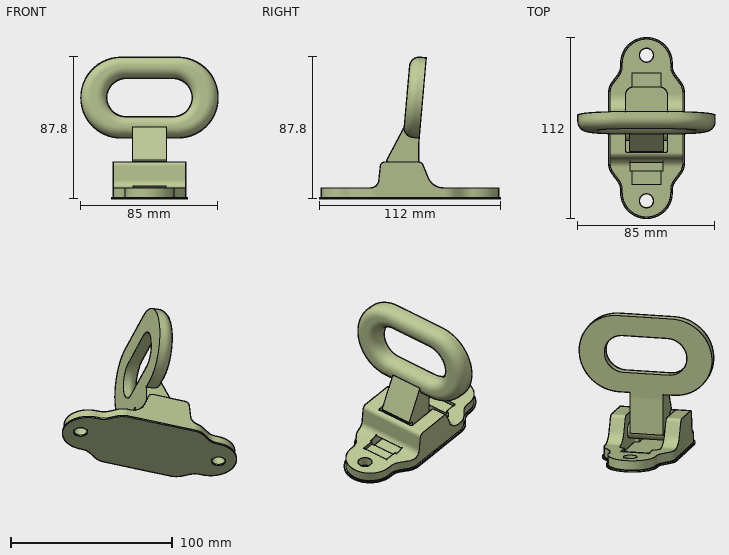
import cadquery as cq
import math

FOOT_LENGTH = 112.0
GASKET_THICKNESS = 1.0
GASKET_RIM = 1.0
HOUSING_HALF_LENGTH = FOOT_LENGTH / 2 - GASKET_RIM
HOUSING_HALF_WIDTH = 22.5
LUG_RADIUS = 15.0
FLARE_INNER_Y = 35.0
FLARE_OUTER_Y = 25.1
FLARE_ROUND = 10.0
SCREW_HOLE_DIAMETER = 8.5
SCREW_HOLE_Y = 45.0

FLANGE_TOP = 7.0
BLOCK_TOP = 23.0
FRONT_FOOT_Y = -19.8
FRONT_CREST_Y = -18.1
BACK_FOOT_Y = 13.9
BACK_CREST_Y = 7.3
FRONT_FOOT_ROUND = 5.0
BACK_FOOT_ROUND = 10.0
CREST_ROUND = 3.0

SLOT_HALF_WIDTH = 13.0
SLOT_FRONT_Y = -15.0
SLOT_FRONT_ROUND = 1.0
SLOT_BACK_ROUND = 5.0
OPENINGS_MIDDLE_Y = -0.5
OPENING_LENGTH = 51.9
RECESS_LENGTH = 68.8
RECESS_HALF_WIDTH = 9.0
RECESS_DEPTH = 2.0
TUNNEL_HALF_WIDTH = 10.2
TUNNEL_TOP = 8.0
SLOT_BACK_Y = OPENINGS_MIDDLE_Y + OPENING_LENGTH / 2
TUNNEL_FRONT_Y = OPENINGS_MIDDLE_Y - OPENING_LENGTH / 2

RING_TILT = 5.0
RING_BACK_Y = 8.0
RING_CENTRE_Z = 62.5
RING_THICKNESS = 10.0
RING_ROUND = 6.0
RING_OUTER_RADIUS = 25.0
RING_OUTER_LENGTH = 85.0
RING_INNER_RADIUS = 12.0
RING_INNER_LENGTH = 52.8

STEM_WIDTH = 21.3
STEM_BACK_Y = 5.5
STEM_TIP_Y = -14.5
STEM_TIP_TOP = 24.0
STEM_TIP_BOTTOM = 23.3
NECK_FRONT_Y = -11.2
NECK_FRONT_TOP = 22.2
HUB_RADIUS = 5.0
HUB_Y = -2.6
HUB_Z = 11.6


def foot_outline(bottom, height):
    """Housing outline: a wide body that flares in to a round lug at each end."""
    lug_y = HOUSING_HALF_LENGTH - LUG_RADIUS
    body = (
        cq.Workplane("XY", origin=(0, 0, bottom))
        .moveTo(HOUSING_HALF_WIDTH, -FLARE_OUTER_Y)
        .lineTo(HOUSING_HALF_WIDTH, FLARE_OUTER_Y)
        .lineTo(LUG_RADIUS, FLARE_INNER_Y)
        .lineTo(LUG_RADIUS, lug_y)
        .threePointArc((0, HOUSING_HALF_LENGTH), (-LUG_RADIUS, lug_y))
        .lineTo(-LUG_RADIUS, FLARE_INNER_Y)
        .lineTo(-HOUSING_HALF_WIDTH, FLARE_OUTER_Y)
        .lineTo(-HOUSING_HALF_WIDTH, -FLARE_OUTER_Y)
        .lineTo(-LUG_RADIUS, -FLARE_INNER_Y)
        .lineTo(-LUG_RADIUS, -lug_y)
        .threePointArc((0, -HOUSING_HALF_LENGTH), (LUG_RADIUS, -lug_y))
        .lineTo(LUG_RADIUS, -FLARE_INNER_Y)
        .close()
        .extrude(height)
    )
    flare_end_y = (FLARE_INNER_Y + lug_y) / 2
    flare_zone = cq.selectors.BoxSelector(
        (-FOOT_LENGTH, -flare_end_y, bottom), (FOOT_LENGTH, flare_end_y, bottom + height)
    )
    return body.edges("|Z").edges(flare_zone).fillet(FLARE_ROUND)


def box_between(x_half, y_min, y_max, z_min, z_max):
    """Box centred on X, given by its Y and Z limits."""
    return cq.Workplane("XY", origin=(0, (y_min + y_max) / 2, z_min)).box(
        2 * x_half, y_max - y_min, z_max - z_min, centered=(True, True, False)
    )


def screw_holes():
    """Cutters for the screw hole in each lug, through gasket and housing."""
    return (
        cq.Workplane("XY")
        .pushPoints([(0, SCREW_HOLE_Y), (0, -SCREW_HOLE_Y)])
        .circle(SCREW_HOLE_DIAMETER / 2)
        .extrude(BLOCK_TOP)
    )


def make_gasket():
    """Thin sheet under the housing, standing out by an even rim."""
    outline = foot_outline(0, GASKET_THICKNESS).faces("<Z").wires().toPending()
    sheet = outline.offset2D(GASKET_RIM).extrude(GASKET_THICKNESS, combine=False)
    return sheet.cut(screw_holes())


def make_housing_shell():
    """Flange with a raised block across it, trimmed to the foot outline."""
    ridge = (
        cq.Workplane("YZ", origin=(-HOUSING_HALF_WIDTH, 0, 0))
        .polyline([
            (-HOUSING_HALF_LENGTH, GASKET_THICKNESS),
            (-HOUSING_HALF_LENGTH, FLANGE_TOP),
            (FRONT_FOOT_Y, FLANGE_TOP),
            (FRONT_CREST_Y, BLOCK_TOP),
            (BACK_CREST_Y, BLOCK_TOP),
            (BACK_FOOT_Y, FLANGE_TOP),
            (HOUSING_HALF_LENGTH, FLANGE_TOP),
            (HOUSING_HALF_LENGTH, GASKET_THICKNESS),
        ])
        .close()
        .extrude(2 * HOUSING_HALF_WIDTH)
    )
    for y, z, radius in [
        (FRONT_FOOT_Y, FLANGE_TOP, FRONT_FOOT_ROUND),
        (FRONT_CREST_Y, BLOCK_TOP, CREST_ROUND),
        (BACK_CREST_Y, BLOCK_TOP, CREST_ROUND),
        (BACK_FOOT_Y, FLANGE_TOP, BACK_FOOT_ROUND),
    ]:
        ridge = ridge.edges(cq.selectors.NearestToPointSelector((0, y, z))).fillet(radius)
    return ridge.intersect(foot_outline(GASKET_THICKNESS, BLOCK_TOP))


def make_handle_slot():
    """Opening for the handle, right through the housing, with wide rounds at the back."""
    slot = box_between(SLOT_HALF_WIDTH, SLOT_FRONT_Y, SLOT_BACK_Y, GASKET_THICKNESS, BLOCK_TOP)
    slot = slot.edges("|Z and >Y").fillet(SLOT_BACK_ROUND)
    return slot.edges("|Z and <Y").fillet(SLOT_FRONT_ROUND)


def make_housing():
    """Shell with the handle slot, the tunnel forward of it, two recesses and the screw holes."""
    tunnel = box_between(TUNNEL_HALF_WIDTH, TUNNEL_FRONT_Y, SLOT_BACK_Y - SLOT_BACK_ROUND,
                         GASKET_THICKNESS, TUNNEL_TOP)
    recesses = box_between(RECESS_HALF_WIDTH, OPENINGS_MIDDLE_Y - RECESS_LENGTH / 2,
                           OPENINGS_MIDDLE_Y + RECESS_LENGTH / 2, FLANGE_TOP - RECESS_DEPTH, FLANGE_TOP)
    shell = make_housing_shell()
    return shell.cut(make_handle_slot()).cut(tunnel).cut(recesses).cut(screw_holes())


def make_ring():
    """Oval ring on its tilted plane, both front edges rounded."""
    tilt = math.radians(RING_TILT)
    back_plane = cq.Plane(
        origin=(0, RING_BACK_Y, RING_CENTRE_Z),
        xDir=(1, 0, 0),
        normal=(0, -math.cos(tilt), math.sin(tilt)),
    )
    return (
        cq.Workplane(back_plane)
        .slot2D(RING_OUTER_LENGTH, 2 * RING_OUTER_RADIUS)
        .slot2D(RING_INNER_LENGTH, 2 * RING_INNER_RADIUS)
        .extrude(RING_THICKNESS)
        .faces(cq.selectors.DirectionMinMaxSelector(back_plane.zDir, True))
        .edges()
        .fillet(RING_ROUND)
    )


def ring_point(up, forward):
    """(Y, Z) of a point given along the tilted ring: up its face and forward from its back."""
    tilt = math.radians(RING_TILT)
    return (
        RING_BACK_Y + up * math.sin(tilt) - forward * math.cos(tilt),
        RING_CENTRE_Z + up * math.cos(tilt) + forward * math.sin(tilt),
    )


def make_stem():
    """Wedge from the lower bar of the ring down to the pivot, with a forward tip."""
    root = RING_ROUND - RING_OUTER_RADIUS
    back_kink_z = RING_CENTRE_Z - (RING_BACK_Y - STEM_BACK_Y) / math.tan(math.radians(RING_TILT))
    return (
        cq.Workplane("YZ")
        .polyline([
            ring_point(root, RING_THICKNESS),
            (STEM_TIP_Y, STEM_TIP_TOP),
            (STEM_TIP_Y, STEM_TIP_BOTTOM),
            (NECK_FRONT_Y, NECK_FRONT_TOP),
            (NECK_FRONT_Y, HUB_Z),
            (STEM_BACK_Y, HUB_Z),
            (STEM_BACK_Y, back_kink_z),
            ring_point(root, 0),
        ])
        .close()
        .extrude(STEM_WIDTH / 2, both=True)
    )


def make_handle():
    """Ring, stem and a round hub that pivots between the slot walls."""
    hub = (
        cq.Workplane("YZ")
        .center(HUB_Y, HUB_Z)
        .circle(HUB_RADIUS)
        .extrude(SLOT_HALF_WIDTH, both=True)
    )
    return make_ring().union(make_stem()).union(hub)


gasket = make_gasket()
housing = make_housing()
handle = make_handle()

result = cq.Compound.makeCompound([
    gasket.solids().val(),
    housing.solids().val(),
    handle.solids().val(),
])